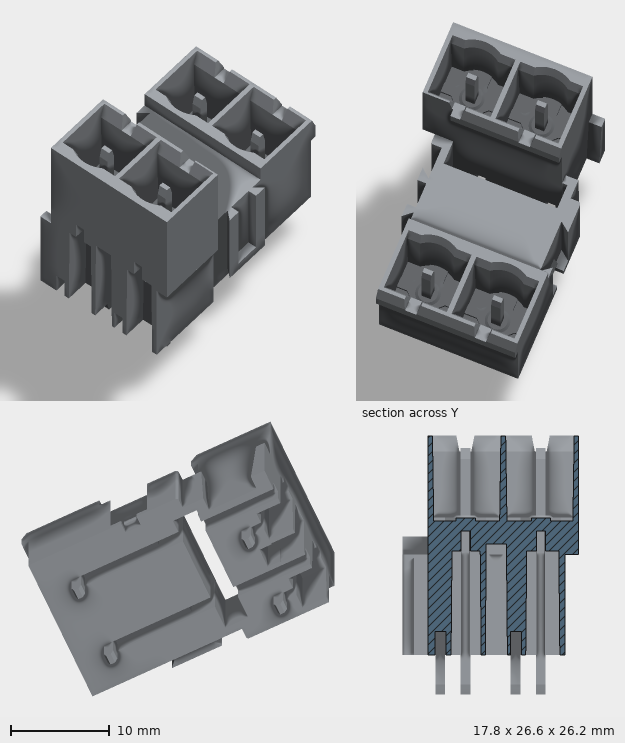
import cadquery as cq


PITCH = 7.62
POLES = 2
TIER_SHIFT = PITCH / 3
TIER_DEPTH = 17.78
TIER_RISE = 10.2
FRONT_TOP = 22.16
REAR_TOP = FRONT_TOP - TIER_RISE
DECK_TOP = 10.16
HEADER_WIDTH = POLES * PITCH
REAR_SETBACK = 0.13
REAR_FACE = TIER_DEPTH + REAR_SETBACK

BACK_WALL = 8.08
LIP_BACK = 8.85
LIP_CHAMFER_Y = 0.58
LIP_CHAMFER_Z = 1.38
LIP_HEIGHT = 3.05
PIN_Y = 4.265

CAVITY_DEPTH = 8.6
OUTER_WALL = 0.48
MIDDLE_WALL = 0.53
SIDE_DRAFT = 0.13
CAVITY_FRONT_TOP = 1.3
CAVITY_FRONT = 1.82
CAVITY_BACK_TOP = 7.9
CAVITY_BACK = 7.32
BACK_SLOPE_HEIGHT = 1.6
FRONT_SLOPE_HEIGHT = 1.15
BULGE_RADIUS_TOP = 3.55
BULGE_RADIUS = 3.07
BULGE_HALF_WIDTH = 2.3
KEY_FLOOR_WIDTH = 1.2
KEY_TOP_WIDTH = 1.82
FLOOR_CROSS_HEIGHT = 0.3
COLLAR_RADIUS = 1.3
COLLAR_TOP_RADIUS = 1.02
COLLAR_HEIGHT = 0.2

PIN_SIZE = 1.04
PIN_WIDTH = 1.0
PIN_TIP_SIZE = 0.5
PIN_TAIL_TAPER = 1.0
PIN_TIP_TAPER = 1.1
PIN_TAIL = 4.0
PIN_RECESS = 1.25

FRONT_BODY_RIGHT = 16.44
CORNER_LEFT = 1.15
CORNER_Y = 9.16
CORNER_RADIUS = 0.3
CORNER_CHAMFER = 0.15
ARM_FRONT_TOP = 7.08
ARM_FRONT_BOTTOM = 6.85
POST_DEPTH_TOP = 0.96
POST_DEPTH_BOTTOM = 1.53
OPENING_X = (1.99, 14.43)
OPENING_Y = (7.98, 10.63)

DOVETAIL_Y = 14.63
DOVETAIL_DEPTH = 1.06
DOVETAIL_WIDE = 5.7
DOVETAIL_NECK = 4.05
TAIL_DEPTH = 0.98
TAIL_WIDE = 5.6
TAIL_NECK = 3.9
LEDGE_Z = 0.95
LATCH_GAP = 1.72
LATCH_WINDOW = 2.74
CATCH_REACH = 0.38
CATCH_BOTTOM = 1.97
CATCH_NOSE_BOTTOM = 2.44
CATCH_NOSE_TOP = 2.72
CATCH_UNDERCUT = 0.06
CATCH_TOP = 3.6

GROOVE_DEPTH = 2.65
GROOVE_DRAFT = 0.1
GROOVE_TOP = 10.52
SIDE_GROOVES = ((5.0, 7.8), (12.55, 15.75))
CENTRE_GROOVE = (8.46, 10.45)
CENTRE_GROOVE_TOP = 11.18
CENTRE_GROOVE_LOWER_DEPTH = 4.0
SLOT_WIDTH = 1.08
SLOT_BACK_WIDTH = 0.7
FRONT_SLOT_TOP = 12.5
REAR_SLOT_TOP = 2.37
DECK_SLOT_TOP = 9.25


def box(x_range, y_range, z_range):
    """Axis-parallel block given by its limits."""
    size = (x_range[1] - x_range[0], y_range[1] - y_range[0], z_range[1] - z_range[0])
    return cq.Workplane("XY").box(*size, centered=False).translate((x_range[0], y_range[0], z_range[0]))


def prism_x(points, x_range):
    """Prism with a YZ outline, running along X."""
    outline = cq.Workplane("YZ", origin=(x_range[0], 0, 0)).polyline(points).close()
    return outline.extrude(x_range[1] - x_range[0])


def prism_y(points, y_range):
    """Prism with an XZ outline, running along Y."""
    outline = cq.Workplane("XZ", origin=(0, y_range[1], 0)).polyline(points).close()
    return outline.extrude(y_range[1] - y_range[0])


def prism_z(points, z_range):
    """Prism with an XY outline, running along Z."""
    outline = cq.Workplane("XY", origin=(0, 0, z_range[0])).polyline(points).close()
    return outline.extrude(z_range[1] - z_range[0])


def cone(x, y, z, bottom_radius, top_radius, height):
    """Upright truncated cone standing at (x, y, z)."""
    return cq.Workplane(cq.Solid.makeCone(bottom_radius, top_radius, height, pnt=cq.Vector(x, y, z)))


def header_shell(x, y, front, bottom, top):
    """Header block with the latching lip along its back."""
    outline = [
        (front, bottom),
        (front, top),
        (y + LIP_BACK - LIP_CHAMFER_Y, top),
        (y + LIP_BACK, top - LIP_CHAMFER_Z),
        (y + LIP_BACK, top - LIP_HEIGHT),
        (y + BACK_WALL, top - LIP_HEIGHT),
        (y + BACK_WALL, bottom),
    ]
    return prism_x(outline, (x, x + HEADER_WIDTH))


def cavity(left, right, pin_x, y, top):
    """Drafted plug chamber with its sloped back and conical bulge in the front."""
    floor = top - CAVITY_DEPTH
    shaft_height = CAVITY_DEPTH - FRONT_SLOPE_HEIGHT
    lead_in_z = top - FRONT_SLOPE_HEIGHT
    width_section = [
        (left, top),
        (right, top),
        (right - SIDE_DRAFT, floor),
        (left + SIDE_DRAFT, floor),
    ]
    depth_section = [
        (y + CAVITY_FRONT_TOP, top),
        (y + CAVITY_BACK_TOP, top),
        (y + CAVITY_BACK, top - BACK_SLOPE_HEIGHT),
        (y + CAVITY_BACK, floor),
        (y + CAVITY_FRONT, floor),
        (y + CAVITY_FRONT, lead_in_z),
    ]
    chamber = prism_y(width_section, (y, y + LIP_BACK)).intersect(prism_x(depth_section, (left, right)))
    shaft = cq.Workplane("XY", origin=(pin_x, y + PIN_Y, floor)).circle(BULGE_RADIUS).extrude(shaft_height)
    lead_in = cone(pin_x, y + PIN_Y, lead_in_z, BULGE_RADIUS, BULGE_RADIUS_TOP, FRONT_SLOPE_HEIGHT)
    bulge = shaft.union(lead_in)
    zone_x = (pin_x - BULGE_HALF_WIDTH, pin_x + BULGE_HALF_WIDTH)
    zone_y = (y + PIN_Y - BULGE_RADIUS_TOP, y + PIN_Y)
    front_zone = box(zone_x, zone_y, (floor, top))
    return chamber.union(bulge.intersect(front_zone))


def key_notch(pin_x, y, top):
    """Flared coding notch through the lip."""
    floor = top - BACK_SLOPE_HEIGHT
    outline = [
        (pin_x - KEY_FLOOR_WIDTH / 2, floor),
        (pin_x + KEY_FLOOR_WIDTH / 2, floor),
        (pin_x + KEY_TOP_WIDTH / 2, top),
        (pin_x - KEY_TOP_WIDTH / 2, top),
    ]
    return prism_y(outline, (y + CAVITY_BACK, y + LIP_BACK))


def floor_cross(pin_x, pin_y, floor):
    """Raised cross on the cavity floor; its arms run on beyond the cavity walls."""
    reach = PITCH / 2
    back_arm = 0.42
    side_arm = 0.52
    front_arm = 1.0
    side_corner = 2.07
    back_corner = side_arm + side_corner - back_arm
    front_corner = side_arm + side_corner - front_arm
    right_half = [
        (back_arm, reach),
        (back_arm, back_corner),
        (side_corner, side_arm),
        (reach, side_arm),
        (reach, -side_arm),
        (side_corner, -side_arm),
        (front_arm, -front_corner),
        (front_arm, -reach),
    ]
    left_half = [(-px, py) for px, py in reversed(right_half)]
    cross = prism_z(right_half + left_half, (floor, floor + FLOOR_CROSS_HEIGHT))
    return cross.translate((pin_x, pin_y, 0))


def pin(pin_x, pin_y, top):
    """Contact pin, both ends tapered in Y."""
    half = PIN_SIZE / 2
    tip = PIN_TIP_SIZE / 2
    outline = [
        (pin_y - tip, -PIN_TAIL),
        (pin_y + tip, -PIN_TAIL),
        (pin_y + half, -PIN_TAIL + PIN_TAIL_TAPER),
        (pin_y + half, top - PIN_TIP_TAPER),
        (pin_y + tip, top),
        (pin_y - tip, top),
        (pin_y - half, top - PIN_TIP_TAPER),
        (pin_y - half, -PIN_TAIL + PIN_TAIL_TAPER),
    ]
    return prism_x(outline, (pin_x - PIN_WIDTH / 2, pin_x + PIN_WIDTH / 2))


def pin_positions(x):
    """X of every contact in the header that starts at x."""
    return [x + PITCH * (pole + 0.5) for pole in range(POLES)]


def cut_cavities(body, x, y, top):
    """Hollow out a header and dress the cavity floors."""
    floor = top - CAVITY_DEPTH
    cavity_width = (HEADER_WIDTH - 2 * OUTER_WALL - (POLES - 1) * MIDDLE_WALL) / POLES
    for pole, pin_x in enumerate(pin_positions(x)):
        left = x + OUTER_WALL + pole * (cavity_width + MIDDLE_WALL)
        chamber = cavity(left, left + cavity_width, pin_x, y, top)
        cross = floor_cross(pin_x, y + PIN_Y, floor).intersect(chamber)
        collar_z = floor + FLOOR_CROSS_HEIGHT
        collar = cone(pin_x, y + PIN_Y, collar_z, COLLAR_RADIUS, COLLAR_TOP_RADIUS, COLLAR_HEIGHT)
        body = body.cut(chamber).cut(key_notch(pin_x, y, top)).union(cross).union(collar)
    return body


def add_pins(body, x, y, top):
    """Fit the contacts of one header."""
    for pin_x in pin_positions(x):
        body = body.union(pin(pin_x, y + PIN_Y, top - PIN_RECESS))
    return body


def front_tier():
    """Front header on its narrower foot, with the tapered post at the left corner."""
    shell = header_shell(TIER_SHIFT, 0, 0, DECK_TOP, FRONT_TOP)
    relief_x = (OPENING_X[1], TIER_SHIFT + HEADER_WIDTH)
    lip_relief = box(relief_x, (BACK_WALL, LIP_BACK), (DECK_TOP, FRONT_TOP))
    foot = box((TIER_SHIFT, FRONT_BODY_RIGHT), (0, BACK_WALL), (0, DECK_TOP))
    post_outline = [(0, 0), (POST_DEPTH_BOTTOM, 0), (POST_DEPTH_TOP, DECK_TOP), (0, DECK_TOP)]
    post = prism_x(post_outline, (CORNER_LEFT, TIER_SHIFT))
    return shell.cut(lip_relief).union(foot).union(post)


def deck():
    """Platform between the headers with its two arms towards the front header."""
    platform = box((0, HEADER_WIDTH), (CORNER_Y, REAR_FACE), (0, DECK_TOP))
    platform = platform.edges("|Z and <X and <Y").fillet(CORNER_RADIUS)
    right_block = box((OPENING_X[1], FRONT_BODY_RIGHT), (OPENING_Y[0], CORNER_Y), (0, DECK_TOP))
    right_block = right_block.edges("|Z and >X and >Y").chamfer(CORNER_CHAMFER)
    arm_outline = [
        (ARM_FRONT_BOTTOM, 0),
        (ARM_FRONT_TOP, DECK_TOP),
        (OPENING_Y[1], DECK_TOP),
        (OPENING_Y[1], 0),
    ]
    left_arm = prism_x(arm_outline, (CORNER_LEFT, TIER_SHIFT))
    opening = box(OPENING_X, OPENING_Y, (0, DECK_TOP))
    return platform.union(right_block).union(left_arm).cut(opening)


def dovetail(x, depth, neck, wide, bottom):
    """Dovetail prism whose neck lies at x and which widens towards +X."""
    outline = [
        (x, DOVETAIL_Y - neck / 2),
        (x + depth, DOVETAIL_Y - wide / 2),
        (x + depth, DOVETAIL_Y + wide / 2),
        (x, DOVETAIL_Y + neck / 2),
    ]
    return prism_z(outline, (bottom, DECK_TOP))


def cut_dovetail_slot(body):
    """Left dovetail slot with a split floor and a snap catch on its back."""
    gap_y = (DOVETAIL_Y - LATCH_GAP / 2, DOVETAIL_Y + LATCH_GAP / 2)
    slot = dovetail(0, DOVETAIL_DEPTH, DOVETAIL_NECK, DOVETAIL_WIDE, LEDGE_Z)
    floor_gap = box((0, DOVETAIL_DEPTH), gap_y, (0, LEDGE_Z))
    nose = DOVETAIL_DEPTH - CATCH_REACH
    catch_outline = [
        (DOVETAIL_DEPTH, CATCH_BOTTOM),
        (nose + CATCH_UNDERCUT, CATCH_BOTTOM),
        (nose, CATCH_NOSE_BOTTOM),
        (nose, CATCH_NOSE_TOP),
        (DOVETAIL_DEPTH, CATCH_TOP),
    ]
    return body.cut(slot).cut(floor_gap).union(prism_y(catch_outline, gap_y))


def add_dovetail_tail(body):
    """Right dovetail tail, recessed in the middle for the catch of a neighbour."""
    tail = dovetail(HEADER_WIDTH, TAIL_DEPTH, TAIL_NECK, TAIL_WIDE, LEDGE_Z)
    window_y = (DOVETAIL_Y - LATCH_WINDOW / 2, DOVETAIL_Y + LATCH_WINDOW / 2)
    window = box((HEADER_WIDTH, HEADER_WIDTH + TAIL_DEPTH), window_y, (CATCH_BOTTOM, DECK_TOP))
    return body.union(tail.cut(window))


def groove(x_range, top, depth):
    """Groove in the front face that widens towards the board."""
    outline = [
        (x_range[0] - GROOVE_DRAFT, 0),
        (x_range[0], top),
        (x_range[1], top),
        (x_range[1] + GROOVE_DRAFT, 0),
    ]
    return prism_y(outline, (0, depth))


def cut_front_grooves(body):
    """Wide grooves in the front face; the centre one is deeper below deck level."""
    for x_range in SIDE_GROOVES:
        body = body.cut(groove(x_range, GROOVE_TOP, GROOVE_DEPTH))
    body = body.cut(groove(CENTRE_GROOVE, CENTRE_GROOVE_TOP, GROOVE_DEPTH))
    lower_pocket = box(CENTRE_GROOVE, (0, CENTRE_GROOVE_LOWER_DEPTH), (0, DECK_TOP))
    return body.cut(lower_pocket)


def cut_pin_slots(body):
    """Assembly slots that lead to the pins from the front."""
    front = SLOT_WIDTH / 2
    back = SLOT_BACK_WIDTH / 2
    for pin_x in pin_positions(TIER_SHIFT):
        outline = [
            (pin_x - front, 0),
            (pin_x + front, 0),
            (pin_x + back, PIN_Y),
            (pin_x - back, PIN_Y),
        ]
        body = body.cut(prism_z(outline, (0, FRONT_SLOT_TOP)))
    for pin_x in pin_positions(0):
        slot_x = (pin_x - front, pin_x + front)
        body = body.cut(box(slot_x, (0, TIER_DEPTH + PIN_Y), (0, REAR_SLOT_TOP)))
        body = body.cut(box(slot_x, (OPENING_Y[1], OPENING_Y[1] + GROOVE_DEPTH), (0, DECK_SLOT_TOP)))
    return body


rear_tier = header_shell(0, TIER_DEPTH, REAR_FACE, 0, REAR_TOP)
housing = front_tier().union(deck()).union(rear_tier)
housing = cut_cavities(housing, TIER_SHIFT, 0, FRONT_TOP)
housing = cut_cavities(housing, 0, TIER_DEPTH, REAR_TOP)
housing = cut_dovetail_slot(housing)
housing = add_dovetail_tail(housing)
housing = cut_front_grooves(housing)
housing = cut_pin_slots(housing)
housing = add_pins(housing, TIER_SHIFT, 0, FRONT_TOP)
result = add_pins(housing, 0, TIER_DEPTH, REAR_TOP)